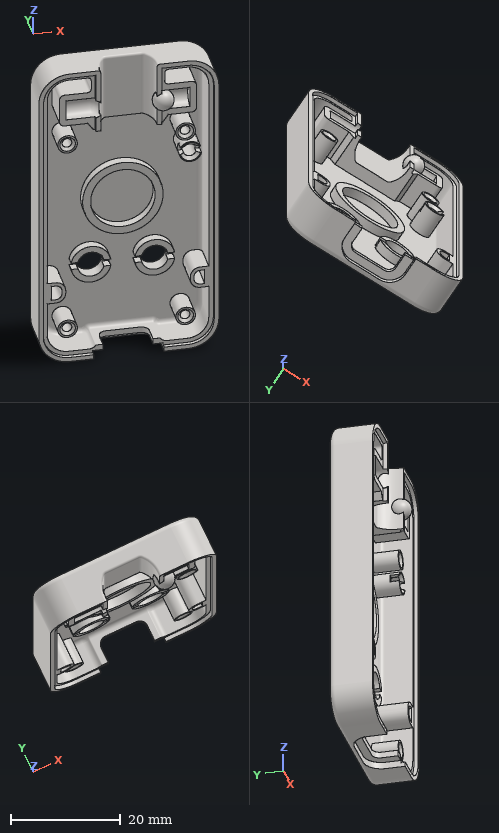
import cadquery as cq
width = 33.6
depth = 8.25
height = 60.9
corner_radius = 5.75
back_fillet = 1.1
wall = 1.75
floor_thickness = 1.2
floor_fillet = 1.0
floor_y = depth - floor_thickness
half_width = width / 2
half_height = height / 2
cavity_half_width = half_width - wall
cavity_half_height = half_height - wall

lip_thickness = 0.9
parting_y = 0.8

channel_radius = 5.25
channel_floor_y = 4.65
channel_floor_fillet = 0.75
channel_mouth_fillet = 0.5
channel_end_z = 17.7
channel_wall_half_width = 6.85
channel_foot_half_width = 6.5
channel_foot_slope_width = 1.0
channel_lip_half_width = channel_radius + lip_thickness

clip_half_width = 12.8
clip_top_z = 25.6
clip_bottom_z = 19.1
clip_corner_radius = 1.0
gap_corner_radius = 0.7
pin_radius = 2.0
pin_outer_x = 11.55
pin_sphere_x = 6.55
pin_z = (clip_top_z + clip_bottom_z) / 2

pad_half_width = 5.95
pad_slope_width = 0.65
pad_thickness = 0.7
pad_edge_radius = 0.3
pad_root_radius = 1.5
pad_top_z = -cavity_half_height + pad_thickness
notch_step_depth = 1.3
notch_flat_half_width = 3.15
outer_notch_half_width = 6.55
outer_notch_floor_y = 7.0
inner_notch_half_width = 4.65
inner_notch_floor_y = 5.4

boss_x = 11.0
boss_upper_z = 14.4
boss_lower_z = -24.65
boss_diameter = 3.65
boss_hole_diameter = 1.8
boss_countersink_diameter = 2.9
boss_tip_y = 2.0

tube_x = 11.9
tube_z = 10.05
tube_diameter = 4.2
tube_hole_diameter = 2.5
tube_countersink_diameter = 3.8
tube_tip_y = 2.0
tube_slot_width = 1.4
tube_slot_depth = 1.75
tube_slot_offset = 0.25

ring_height = 1.8
ring_z = -0.2
ring_outer_diameter = 15.0
ring_inner_diameter = 12.0
button_x = 5.95
button_z = -13.5
button_outer_diameter = 7.5
button_hole_diameter = 5.0
button_slot_width = 1.3
button_back_fillet = 0.4

latch_tip_x = 11.6
latch_z = -16.05
latch_half_width = 2.15
latch_wall = 0.7
latch_corner_radius = 1.9
latch_pocket_outer_x = 14.3

cut_start_y = -1.0
pick_margin = 0.1


def plane_at(y):
    """Workplane facing the open side; negative extrusions run toward the back."""
    return cq.Workplane("XZ", origin=(0, y, 0))


def block(x_min, x_max, z_min, z_max, y_min, y_max):
    size = (x_max - x_min, y_max - y_min, z_max - z_min)
    return cq.Workplane("XY").box(*size, centered=False).translate((x_min, y_min, z_min))


def cylinder(x, z, diameter, y_min, y_max):
    return plane_at(y_min).center(x, z).circle(diameter / 2).extrude(y_min - y_max)


def countersink(x, z, large_diameter, small_diameter, y):
    """45-degree cone narrowing from the boss tip toward the back."""
    large = large_diameter / 2
    small = small_diameter / 2
    cone = cq.Solid.makeCone(large, small, large - small, cq.Vector(x, y, z), cq.Vector(0, 1, 0))
    return cq.Workplane(obj=cone)


def both_sides(solid):
    return solid.union(solid.mirror("YZ"))


def round_pad_corners(cavity, x, z, radius):
    """Round the pair of upright pad corners found at +x and -x."""
    for corner_x in (-x, x):
        corner = cq.selectors.BoxSelector(
            (corner_x - pick_margin, -depth, z - pick_margin),
            (corner_x + pick_margin, depth, z + pick_margin),
        )
        cavity = cavity.edges("|Y").edges(corner).fillet(radius)
    return cavity


def make_cavity():
    """Cavity with the channel wall, the bottom pad and rounded floor edges left in place."""
    cavity = plane_at(cut_start_y).rect(2 * cavity_half_width, 2 * cavity_half_height)
    cavity = cavity.extrude(cut_start_y - floor_y)
    cavity = cavity.edges("|Y").fillet(corner_radius - wall)
    channel_wall = block(
        -channel_wall_half_width,
        channel_wall_half_width,
        clip_top_z,
        half_height,
        cut_start_y,
        depth,
    )
    cavity = cavity.cut(channel_wall)
    pad_outer = pad_half_width + pad_slope_width
    pad = (
        plane_at(cut_start_y)
        .moveTo(-pad_outer, -half_height)
        .lineTo(-pad_outer, -cavity_half_height)
        .lineTo(-pad_half_width, pad_top_z)
        .lineTo(pad_half_width, pad_top_z)
        .lineTo(pad_outer, -cavity_half_height)
        .lineTo(pad_outer, -half_height)
        .close()
        .extrude(cut_start_y - depth)
    )
    cavity = cavity.cut(pad)
    cavity = round_pad_corners(cavity, pad_outer, -cavity_half_height, pad_root_radius)
    cavity = round_pad_corners(cavity, pad_half_width, pad_top_z, pad_edge_radius)
    return cavity.faces(">Y").edges().fillet(floor_fillet)


def make_shell():
    shell = plane_at(0).rect(width, height).extrude(-depth)
    shell = shell.edges("|Y").fillet(corner_radius)
    shell = shell.faces(">Y").edges().fillet(back_fillet)
    return shell.cut(make_cavity())


def make_clip_blocks():
    block_depth = -floor_y
    boxes = plane_at(0).rect(2 * clip_half_width, clip_top_z - clip_bottom_z).extrude(block_depth)
    boxes = boxes.edges("|Y").fillet(clip_corner_radius).translate((0, 0, pin_z))
    foot_top_half_width = channel_foot_half_width + channel_foot_slope_width
    foot = (
        plane_at(0)
        .moveTo(-channel_foot_half_width, channel_end_z)
        .lineTo(channel_foot_half_width, channel_end_z)
        .lineTo(foot_top_half_width, clip_bottom_z)
        .lineTo(channel_foot_half_width, clip_top_z)
        .lineTo(-channel_foot_half_width, clip_top_z)
        .lineTo(-foot_top_half_width, clip_bottom_z)
        .close()
        .extrude(block_depth)
    )
    return boxes.union(foot)


def make_gap_corner_fillers():
    """Concave corner fills where the gaps above the clip blocks meet the channel wall."""
    radius = gap_corner_radius
    fillers = cq.Workplane("XY")
    for corner_z, inward in ((clip_top_z, radius), (cavity_half_height, -radius)):
        arc_x = -channel_wall_half_width - radius
        arc_z = corner_z + inward
        square = block(
            arc_x,
            -channel_wall_half_width,
            min(corner_z, arc_z),
            max(corner_z, arc_z),
            0,
            floor_y,
        )
        fillers = fillers.add(square.cut(cylinder(arc_x, arc_z, 2 * radius, 0, floor_y)))
    return both_sides(fillers.combine())


def make_rim_recess():
    """Space cleared in front of the parting plane, inside the outer lip and channel lips."""
    inner = plane_at(0).rect(width - 2 * lip_thickness, height - 2 * lip_thickness).extrude(-parting_y)
    inner = inner.edges("|Y").fillet(corner_radius - lip_thickness)
    channel_lips = block(
        -channel_lip_half_width, channel_lip_half_width, channel_end_z, half_height, 0, parting_y
    )
    return inner.cut(channel_lips)


def make_channel():
    bore = (
        cq.Workplane("XY", origin=(0, parting_y, channel_end_z))
        .circle(channel_radius)
        .extrude(half_height - channel_end_z)
    )
    bore = bore.intersect(
        block(-half_width, half_width, channel_end_z, half_height, parting_y, channel_floor_y)
    )
    bore = bore.faces(">Y").edges("|Z").fillet(channel_floor_fillet)
    entry = block(-channel_radius, channel_radius, channel_end_z, half_height, 0, parting_y)
    return bore.union(entry)


def cut_channel(body):
    """Cut the cable channel and round its mouth on the top end."""
    body = body.cut(make_channel())
    mouth = cq.selectors.BoxSelector(
        (-channel_radius - pick_margin, -pick_margin, half_height - pick_margin),
        (channel_radius + pick_margin, channel_floor_y + pick_margin, half_height + pick_margin),
    )
    return body.faces(">Z").edges(mouth).fillet(channel_mouth_fillet)


def make_pin_pocket():
    bar = (
        cq.Workplane("YZ", origin=(-pin_outer_x, parting_y, pin_z))
        .circle(pin_radius)
        .extrude(pin_outer_x - pin_sphere_x)
    )
    tip = cq.Workplane("XY").sphere(pin_radius).translate((-pin_sphere_x, parting_y, pin_z))
    opening = block(
        -pin_outer_x, -pin_sphere_x, pin_z - pin_radius, pin_z + pin_radius, 0, parting_y
    )
    return bar.union(tip).union(opening)


def make_notch(notch_half_width, notch_floor_y, z_min, z_max):
    """Slot through the bottom end with large round corners at its floor."""
    radius = notch_half_width - notch_flat_half_width
    notch = block(-notch_half_width, notch_half_width, z_min, z_max, 0, notch_floor_y)
    return notch.faces(">Y").edges("|Z").fillet(radius)


def cut_plug_notch(body):
    step_z = -half_height + notch_step_depth
    body = body.cut(make_notch(outer_notch_half_width, outer_notch_floor_y, -half_height, step_z))
    return body.cut(make_notch(inner_notch_half_width, inner_notch_floor_y, step_z, pad_top_z))


def make_latch_column(tip_x, outer_x, column_half_width, tip_radius):
    """Upright column with a round-cornered tip, reaching from the parting plane to the floor."""
    column = block(
        -outer_x,
        -tip_x,
        latch_z - column_half_width,
        latch_z + column_half_width,
        parting_y,
        floor_y,
    )
    return column.faces(">X").edges("|Y").fillet(tip_radius)


def make_latch_post():
    root_x = cavity_half_width + lip_thickness / 2
    return make_latch_column(latch_tip_x, root_x, latch_half_width, latch_corner_radius)


def make_latch_pocket():
    pocket = make_latch_column(
        latch_tip_x + latch_wall,
        latch_pocket_outer_x,
        latch_half_width - latch_wall,
        latch_corner_radius - latch_wall,
    )
    return pocket.faces("<X").edges(">Y").fillet(floor_fillet)


def add_screw_bosses(body):
    for x in (-boss_x, boss_x):
        for z in (boss_lower_z, boss_upper_z):
            body = body.union(cylinder(x, z, boss_diameter, boss_tip_y, floor_y))
            body = body.cut(cylinder(x, z, boss_hole_diameter, boss_tip_y, floor_y))
            body = body.cut(
                countersink(x, z, boss_countersink_diameter, boss_hole_diameter, boss_tip_y)
            )
    return body


def add_light_tube(body):
    body = body.union(cylinder(tube_x, tube_z, tube_diameter, tube_tip_y, floor_y))
    body = body.cut(cylinder(tube_x, tube_z, tube_hole_diameter, tube_tip_y, depth))
    body = body.cut(
        countersink(tube_x, tube_z, tube_countersink_diameter, tube_hole_diameter, tube_tip_y)
    )
    slot_z = tube_z + tube_slot_offset
    slot = block(
        tube_x - tube_diameter / 2,
        tube_x + tube_diameter / 2,
        slot_z - tube_slot_width / 2,
        slot_z + tube_slot_width / 2,
        tube_tip_y,
        tube_tip_y + tube_slot_depth,
    )
    return body.cut(slot)


def add_floor_rings(body):
    ring_top_y = floor_y - ring_height
    body = body.union(
        cylinder(0, ring_z, ring_outer_diameter, ring_top_y, floor_y).cut(
            cylinder(0, ring_z, ring_inner_diameter, ring_top_y, floor_y)
        )
    )
    for x in (-button_x, button_x):
        slot = block(
            x - button_outer_diameter / 2,
            x + button_outer_diameter / 2,
            button_z - button_slot_width / 2,
            button_z + button_slot_width / 2,
            ring_top_y,
            floor_y,
        )
        ring = cylinder(x, button_z, button_outer_diameter, ring_top_y, floor_y).cut(slot)
        body = body.union(ring)
        body = body.cut(cylinder(x, button_z, button_hole_diameter, ring_top_y, depth))
        hole_rim = cq.selectors.BoxSelector(
            (x - button_hole_diameter, depth - pick_margin, button_z - button_hole_diameter),
            (x + button_hole_diameter, depth + pick_margin, button_z + button_hole_diameter),
        )
        body = body.edges(hole_rim).fillet(button_back_fillet)
    return body


result = make_shell().union(make_clip_blocks()).union(make_gap_corner_fillers())
result = result.cut(make_rim_recess())
result = cut_channel(result)
result = result.cut(both_sides(make_pin_pocket()))
result = cut_plug_notch(result)
result = result.union(both_sides(make_latch_post())).cut(both_sides(make_latch_pocket()))
result = add_screw_bosses(result)
result = add_light_tube(result)
result = add_floor_rings(result)